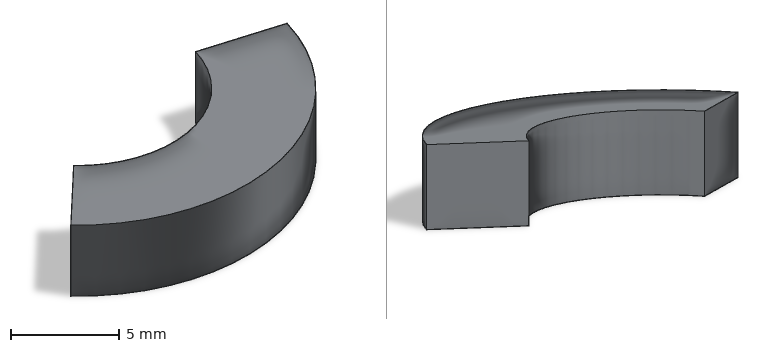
import cadquery as cq
import math

OUTER_RADIUS = 11.0
INNER_RADIUS = 6.2
THICKNESS = 4.0
SECTOR_ANGLE = 120.0

HALF_ANGLE = SECTOR_ANGLE / 2


def polar_point(radius, angle_degrees):
    """Point in XY at a radius and angle about the ring axis."""
    angle = math.radians(angle_degrees)
    return (radius * math.cos(angle), radius * math.sin(angle))


def ring_sector():
    """Flat ring segment, symmetric about +X, with radial end faces."""
    return (
        cq.Workplane("XY")
        .moveTo(*polar_point(INNER_RADIUS, -HALF_ANGLE))
        .lineTo(*polar_point(OUTER_RADIUS, -HALF_ANGLE))
        .threePointArc(polar_point(OUTER_RADIUS, 0), polar_point(OUTER_RADIUS, HALF_ANGLE))
        .lineTo(*polar_point(INNER_RADIUS, HALF_ANGLE))
        .threePointArc(polar_point(INNER_RADIUS, 0), polar_point(INNER_RADIUS, -HALF_ANGLE))
        .close()
        .extrude(THICKNESS)
    )


result = ring_sector()